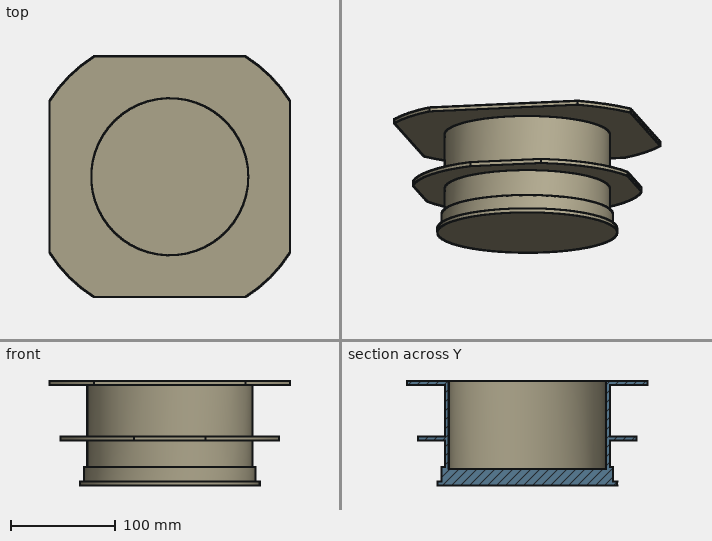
import cadquery as cq

HEIGHT = 100
TUBE_DIAMETER = 158
BORE_DIAMETER = 150
FLOOR_Z = 16

COLLAR_DIAMETER = 164
COLLAR_TOP_Z = 18
RIM_DIAMETER = 172
RIM_THICKNESS = 4

FLANGE_THICKNESS = 4
TOP_FLANGE_WIDTH = 230
TOP_FLANGE_DIAMETER = 271.5
MIDDLE_FLANGE_WIDTH = 209
MIDDLE_FLANGE_DIAMETER = 220
MIDDLE_FLANGE_Z = 43


def disc(diameter, bottom_z, thickness):
    """Solid cylinder on the Z axis."""
    return cq.Workplane("XY").workplane(offset=bottom_z).circle(diameter / 2).extrude(thickness)


def flange(width, diameter, bottom_z):
    """Square plate whose corners are rounded off by a circle on the Z axis."""
    plate = cq.Workplane("XY").workplane(offset=bottom_z).rect(width, width).extrude(FLANGE_THICKNESS)
    return plate.intersect(disc(diameter, bottom_z, FLANGE_THICKNESS))


tube = disc(TUBE_DIAMETER, 0, HEIGHT)
collar = disc(COLLAR_DIAMETER, 0, COLLAR_TOP_Z)
rim = disc(RIM_DIAMETER, 0, RIM_THICKNESS)
middle_flange = flange(MIDDLE_FLANGE_WIDTH, MIDDLE_FLANGE_DIAMETER, MIDDLE_FLANGE_Z)
top_flange = flange(TOP_FLANGE_WIDTH, TOP_FLANGE_DIAMETER, HEIGHT - FLANGE_THICKNESS)
bore = disc(BORE_DIAMETER, FLOOR_Z, HEIGHT - FLOOR_Z)

result = tube.union(collar).union(rim).union(middle_flange).union(top_flange).cut(bore)